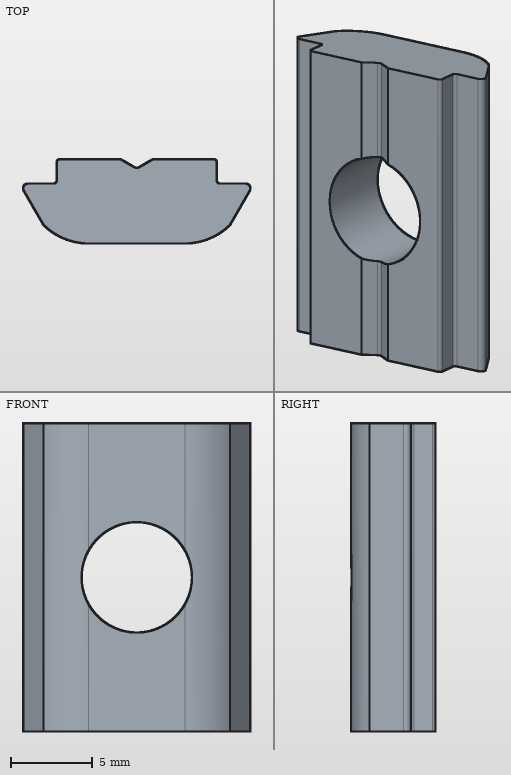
import cadquery as cq
import math

length = 19.0
flange_width = 14.0
thickness = 5.2

stem_width = 9.86
stem_height = 1.5
stem_radius = 0.19

groove_width = 2.0
groove_flank_angle = 30.0
groove_radius = 0.3

tip_radius = 0.3
side_angle = 60.0
base_width = 5.93
edge_rise = 1.14

hole_diameter = 6.78

shoulder_y = thickness - stem_height
groove_depth = groove_width / 2 * math.tan(math.radians(groove_flank_angle))
tip_overhang = tip_radius / math.tan(math.radians(side_angle / 2)) - tip_radius
corner_x = flange_width / 2 + tip_overhang
side_end_x = corner_x - (shoulder_y - edge_rise) / math.tan(math.radians(side_angle))

base_x = base_width / 2
stem_x = stem_width / 2
groove_x = groove_width / 2


def make_profile_body():
    """Extrude the sharp-cornered profile along Z, with arcs tangent to the base."""
    return (
        cq.Workplane("XY")
        .moveTo(-base_x, 0)
        .lineTo(base_x, 0)
        .tangentArcPoint((side_end_x, edge_rise), relative=False)
        .lineTo(corner_x, shoulder_y)
        .lineTo(stem_x, shoulder_y)
        .lineTo(stem_x, thickness)
        .lineTo(groove_x, thickness)
        .lineTo(0, thickness - groove_depth)
        .lineTo(-groove_x, thickness)
        .lineTo(-stem_x, thickness)
        .lineTo(-stem_x, shoulder_y)
        .lineTo(-corner_x, shoulder_y)
        .lineTo(-side_end_x, edge_rise)
        .radiusArc((-base_x, 0), -edge_radius())
        .close()
        .extrude(length)
    )


def edge_radius():
    """Radius of an arc tangent to the base that ends at the sloping side."""
    run = side_end_x - base_x
    return (run**2 + edge_rise**2) / (2 * edge_rise)


def round_edges(body, points, radius):
    """Round the lengthwise edges that pass through the given profile points."""
    for x, y in points:
        edge = cq.selectors.NearestToPointSelector((x, y, length / 2))
        body = body.edges("|Z").edges(edge).fillet(radius)
    return body


def both_sides(x, y):
    return [(-x, y), (x, y)]


body = make_profile_body()
body = round_edges(body, both_sides(corner_x, shoulder_y), tip_radius)
body = round_edges(body, both_sides(stem_x, shoulder_y), stem_radius)
body = round_edges(body, both_sides(stem_x, thickness), stem_radius)
body = round_edges(body, [(0, thickness - groove_depth)], groove_radius)

hole = (
    cq.Workplane("XZ")
    .center(0, length / 2)
    .circle(hole_diameter / 2)
    .extrude(-thickness)
)
result = body.cut(hole)